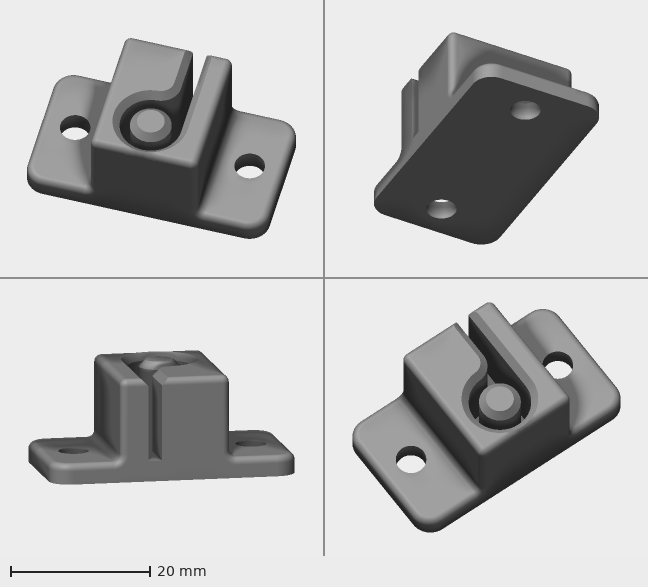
import cadquery as cq
import math

length = 36.0
width = 20.0
height = 15.0
flange_thickness = 3.0
block_length = 16.0
corner_radius = 3.0
edge_radius = 1.0

hole_diameter = 4.4
hole_spacing = 26.0
hole_y = 0.5

pin_diameter = 6.0
pin_x = -0.5
pin_y = -4.0
pin_chamfer = 1.0
pocket_radius = 4.5
pocket_floor = flange_thickness
pocket_chamfer = 1.0
slot_width = 2.0
throat_radius = 3.0


def make_bowl_flare():
    """Cone that flares the top of the round bowl at 45 degrees."""
    cone = cq.Solid.makeCone(
        pocket_radius,
        pocket_radius + pocket_chamfer,
        pocket_chamfer,
        cq.Vector(pin_x, pin_y, height - pocket_chamfer),
    )
    return cq.Workplane(cone)


def make_body():
    """Flanged base with a full-width block, rounded on all upper edges, with the bowl flare."""
    flange = (
        cq.Workplane("XY")
        .box(length, width, flange_thickness, centered=(True, True, False))
        .edges("|Z")
        .fillet(corner_radius)
    )
    block = cq.Workplane("XY").box(block_length, width, height, centered=(True, True, False))
    body = flange.union(block)
    half_block = block_length / 2
    tolerance = 0.05
    for side in (-1, 1):
        x = side * half_block
        root = cq.selectors.BoxSelector(
            (x - tolerance, -width, flange_thickness - tolerance),
            (x + tolerance, width, flange_thickness + tolerance),
        )
        body = body.edges(root).fillet(edge_radius)
    body = body.cut(make_bowl_flare())

    inner_y = width / 2 - tolerance
    root_x = half_block + edge_radius + tolerance
    bowl_x = half_block - tolerance
    above_base = cq.selectors.BoxSelector(
        (-length, -width, flange_thickness - tolerance),
        (length, width, height + tolerance),
    )
    root_seams = cq.selectors.BoxSelector(
        (-root_x, -inner_y, 0),
        (root_x, inner_y, height - tolerance),
    )
    bowl_edges = cq.selectors.BoxSelector(
        (-bowl_x, -inner_y, 0),
        (bowl_x, inner_y, height + tolerance),
    )
    return body.edges(above_base - root_seams - bowl_edges).fillet(edge_radius)


def keyhole_outline(offset):
    """Keyhole outline grown outward by offset, with its slot open at the +Y end."""
    bowl = pocket_radius + offset
    throat = throat_radius - offset
    slot_right = pin_x + bowl
    slot_left = pin_x + pocket_radius - slot_width - offset
    slot_end = width / 2 + edge_radius

    throat_x = slot_left - throat
    throat_dx = throat_x - pin_x
    center_distance = bowl + throat
    throat_dy = math.sqrt(center_distance**2 - throat_dx**2)
    throat_y = pin_y + throat_dy
    tangent_angle = math.atan2(throat_dy, throat_dx)
    tangent_point = (
        pin_x + bowl * math.cos(tangent_angle),
        pin_y + bowl * math.sin(tangent_angle),
    )
    throat_middle_angle = (tangent_angle - math.pi) / 2
    throat_middle = (
        throat_x + throat * math.cos(throat_middle_angle),
        throat_y + throat * math.sin(throat_middle_angle),
    )
    bowl_middle_angle = tangent_angle / 2 + math.pi
    bowl_middle = (
        pin_x + bowl * math.cos(bowl_middle_angle),
        pin_y + bowl * math.sin(bowl_middle_angle),
    )
    return (
        cq.Workplane("XY")
        .moveTo(slot_right, slot_end)
        .lineTo(slot_left, slot_end)
        .lineTo(slot_left, throat_y)
        .threePointArc(throat_middle, tangent_point)
        .threePointArc(bowl_middle, (slot_right, pin_y))
        .close()
    )


def make_keyhole():
    """Keyhole cutter: straight walls with a 45 degree flare at the top."""
    walls = keyhole_outline(0).extrude(height - pocket_floor)
    walls = walls.translate((0, 0, pocket_floor))
    lower = keyhole_outline(0).val().moved(cq.Location(cq.Vector(0, 0, height - pocket_chamfer)))
    upper = keyhole_outline(pocket_chamfer).val().moved(cq.Location(cq.Vector(0, 0, height)))
    flare = cq.Workplane(cq.Solid.makeLoft([lower, upper], True))
    return walls.union(flare)


def make_pin():
    """Chamfered pin standing on the pocket floor."""
    return (
        cq.Workplane("XY")
        .center(pin_x, pin_y)
        .circle(pin_diameter / 2)
        .extrude(height)
        .faces(">Z")
        .chamfer(pin_chamfer)
    )


mounting_holes = (
    cq.Workplane("XY")
    .pushPoints([(-hole_spacing / 2, hole_y), (hole_spacing / 2, hole_y)])
    .circle(hole_diameter / 2)
    .extrude(flange_thickness)
)

result = make_body().cut(make_keyhole()).union(make_pin()).cut(mounting_holes)